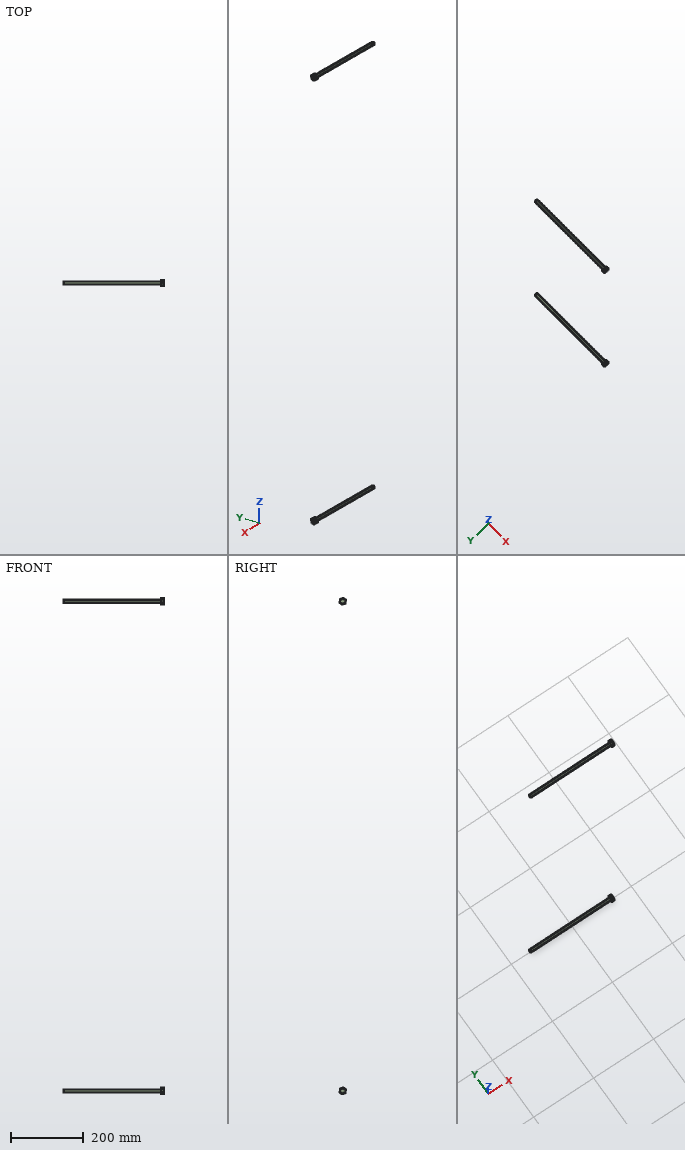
import cadquery as cq
import math

TOTAL_HEIGHT = 1365.0
BOLT_LENGTH = 275.0
SHANK_DIAMETER = 8.9
HEAD_SIDE = 9.1
HEAD_THICKNESS = 8.0
HEAD_TURN = 83.0

HEX_SIDES = 6
HEAD_ACROSS_CORNERS = 2 * HEAD_SIDE
SHANK_LENGTH = BOLT_LENGTH - HEAD_THICKNESS

HEAD_HEIGHT = HEAD_ACROSS_CORNERS * math.sin(math.radians(HEAD_TURN))
BOLT_SPACING = TOTAL_HEIGHT - HEAD_HEIGHT


def make_bolt(axis_height):
    """Plain round shank starting at X = 0, with a hexagonal head at the +X end."""
    shank = (
        cq.Workplane("YZ", origin=(0, 0, axis_height))
        .circle(SHANK_DIAMETER / 2)
        .extrude(SHANK_LENGTH)
    )
    head = (
        cq.Workplane("YZ", origin=(SHANK_LENGTH, 0, axis_height))
        .transformed(rotate=(0, 0, HEAD_TURN))
        .polygon(HEX_SIDES, HEAD_ACROSS_CORNERS)
        .extrude(HEAD_THICKNESS)
    )
    return shank.union(head)


bolts = [make_bolt(side * BOLT_SPACING / 2) for side in (-1, 1)]

result = cq.Compound.makeCompound([bolt.val() for bolt in bolts])